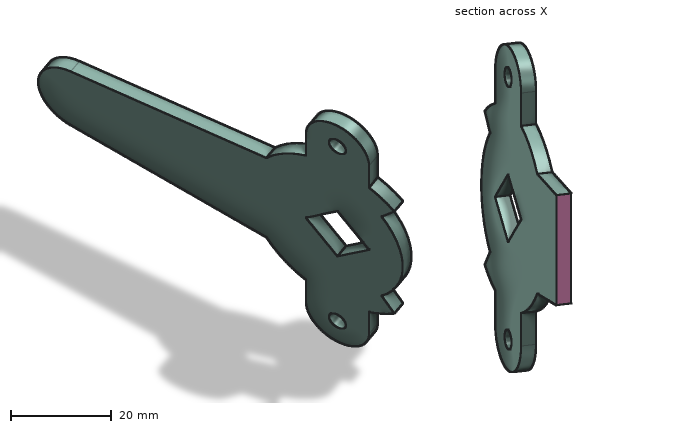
import cadquery as cq
import math

thickness = 3.2

hub_radius = 21.0
rim_radius = 18.0
rim_reach = 15.5
rim_half_angle = 50.0

arm_reach = 71.0
arm_tip_radius = 8.5
arm_taper = 5.0

ear_reach = 34.0
ear_radius = 7.5
ear_hole_diameter = 4.0
ear_hole_offset = 27.5

diamond_width = 15.0
diamond_height = 14.2


def plate_sketch():
    """Workplane on the -Y face: local x is +X and local y is +Z."""
    return cq.Workplane("XZ", origin=(0, -thickness / 2, 0))


def extrude(outline):
    """Extrude an outline through the plate thickness, toward +Y."""
    return outline.extrude(-thickness)


def polar(radius, degrees):
    angle = math.radians(degrees)
    return radius * math.cos(angle), radius * math.sin(angle)


def make_hub():
    """Disc whose +X sector is replaced by the flatter rim."""
    rim_centre = rim_reach - rim_radius
    along, across = polar(rim_centre, rim_half_angle)
    step_inner_radius = along + math.sqrt(rim_radius**2 - across**2)
    step_x, step_z = polar(step_inner_radius, rim_half_angle)
    corner_x, corner_z = polar(hub_radius, rim_half_angle)
    return extrude(
        plate_sketch()
        .moveTo(step_x, -step_z)
        .threePointArc((rim_reach, 0), (step_x, step_z))
        .lineTo(corner_x, corner_z)
        .threePointArc((-hub_radius, 0), (corner_x, -corner_z))
        .close()
    )


def make_arm():
    """Tapered arm, its edges tangent to the tip arc; the wide end lies inside the hub."""
    tip_centre = arm_tip_radius - arm_reach
    tangent_x, tangent_z = polar(arm_tip_radius, 90 + arm_taper)
    tangent_x += tip_centre
    root_x = -hub_radius / 2
    root_z = tangent_z + (root_x - tangent_x) * math.tan(math.radians(arm_taper))
    return extrude(
        plate_sketch()
        .moveTo(root_x, -root_z)
        .lineTo(root_x, root_z)
        .lineTo(tangent_x, tangent_z)
        .threePointArc((-arm_reach, 0), (tangent_x, -tangent_z))
        .close()
    )


def make_ears():
    """One straight slot shape forms both ears, running through the hub."""
    return extrude(plate_sketch().slot2D(2 * ear_reach, 2 * ear_radius, 90))


def make_ear_holes():
    centres = [(0, ear_hole_offset), (0, -ear_hole_offset)]
    return extrude(plate_sketch().pushPoints(centres).circle(ear_hole_diameter / 2))


def make_diamond():
    half_width = diamond_width / 2
    half_height = diamond_height / 2
    corners = [(half_width, 0), (0, half_height), (-half_width, 0), (0, -half_height)]
    return extrude(plate_sketch().polyline(corners).close())


plate = make_hub().union(make_arm()).union(make_ears())
result = plate.cut(make_ear_holes()).cut(make_diamond())